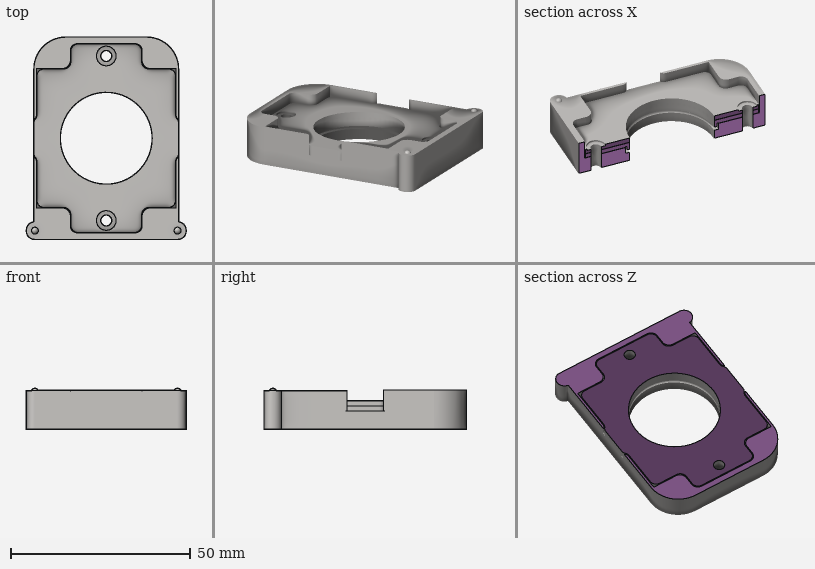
import cadquery as cq
import math

length = 56.45
overall_width = 44.6
body_width = 40.4
rear_corner_radius = 9.0
ear_depth = 4.95
ear_corner_radius = 2.35

front_rim_height = 10.8
rear_rim_height = 11.0
pocket_floor = 5.1
ledge_height = 3.0
lower_plate_thickness = 1.4
upper_plate_thickness = 1.5

peg_radius = 1.0
peg_top = 11.45
peg_x = 19.85

clearance = 0.1
plate_half_width = 19.3
plate_half_length = 19.3
end_tab_half_width = 9.9
end_tab_reach = 26.25
corner_radius = 2.0
pocket_shoulder_radius = 2.2
notch_arc_y = 6.6

bore_diameter = 25.5
collar_diameter = 27.5
collar_seat_diameter = 28.0
collar_bottom = 3.9
screw_hole_diameter = 3.0
screw_recess_diameter = 5.5
screw_recess_depth = 0.5
screw_y = 22.9

half_length = length / 2
half_body_width = body_width / 2
ear_y = -half_length + ear_depth / 2
lower_plate_top = pocket_floor + lower_plate_thickness
upper_plate_top = lower_plate_top + upper_plate_thickness
screw_points = [(0, screw_y), (0, -screw_y)]
peg_points = [(peg_x, ear_y), (-peg_x, ear_y)]


def cylinder(diameter, bottom, top, points=((0, 0),)):
    """Upright cylinders between two heights."""
    return cq.Workplane("XY").workplane(offset=bottom).pushPoints(points).circle(diameter / 2).extrude(top - bottom)


def end_tab_edge(bottom, gap, shoulder_radius):
    """Start of a quarter outline, from the origin round the end tab, grown outwards by gap."""
    tab_x = end_tab_half_width + gap
    tab_y = end_tab_reach + gap
    shoulder_y = plate_half_length + gap
    return (
        cq.Workplane("XY").workplane(offset=bottom)
        .lineTo(0, tab_y)
        .lineTo(tab_x - corner_radius, tab_y)
        .radiusArc((tab_x, tab_y - corner_radius), corner_radius)
        .lineTo(tab_x, shoulder_y + shoulder_radius)
        .radiusArc((tab_x + shoulder_radius, shoulder_y), -shoulder_radius)
    )


def four_quarters(quarter):
    """Complete a +X +Y quarter by mirroring it across both centre planes."""
    half = quarter.union(quarter.mirror("YZ"))
    return half.union(half.mirror("XZ")).clean()


def plate_blank(bottom, thickness):
    """Plate with rounded corners, end tabs and S-curved side tabs flush with the housing sides."""
    side_step = half_body_width - plate_half_width
    curve_run = math.sqrt(corner_radius**2 - (corner_radius - side_step / 2) ** 2)
    quarter = (
        end_tab_edge(bottom, 0, corner_radius)
        .lineTo(plate_half_width - corner_radius, plate_half_length)
        .radiusArc((plate_half_width, plate_half_length - corner_radius), corner_radius)
        .lineTo(plate_half_width, notch_arc_y)
        .radiusArc((plate_half_width + side_step / 2, notch_arc_y - curve_run), -corner_radius)
        .radiusArc((half_body_width, notch_arc_y - 2 * curve_run), corner_radius)
        .lineTo(half_body_width, 0)
        .close()
        .extrude(thickness)
    )
    return four_quarters(quarter)


def pocket_space():
    """Plate pocket: square main corners, open through a notch in each side wall."""
    pocket_x = plate_half_width + clearance
    pocket_y = plate_half_length + clearance
    notch_radius = corner_radius - clearance
    arc_centre_x = pocket_x + notch_radius
    notch_y = notch_arc_y - math.sqrt(notch_radius**2 - (arc_centre_x - half_body_width) ** 2)
    quarter = (
        end_tab_edge(pocket_floor, clearance, pocket_shoulder_radius)
        .lineTo(pocket_x, pocket_y)
        .lineTo(pocket_x, notch_arc_y)
        .radiusArc((half_body_width, notch_y), -notch_radius)
        .lineTo(half_body_width, 0)
        .close()
        .extrude(rear_rim_height - pocket_floor)
    )
    return four_quarters(quarter)


def make_housing():
    """Tray with two ears, a stepped rim, the plate pocket and a stepped bore."""
    body = (
        cq.Workplane("XY")
        .box(body_width, half_length - ear_y, rear_rim_height, centered=(True, False, False))
        .edges("|Z and >Y")
        .fillet(rear_corner_radius)
        .translate((0, ear_y, 0))
    )

    front_step = (
        cq.Workplane("XY")
        .workplane(offset=front_rim_height)
        .center(0, -half_length / 2)
        .rect(body_width, half_length)
        .extrude(rear_rim_height - front_rim_height)
    )
    body = body.cut(front_step)

    ear_bar = (
        cq.Workplane("XY")
        .box(overall_width, ear_depth, front_rim_height, centered=(True, True, False))
        .edges("|Z")
        .fillet(ear_corner_radius)
        .translate((0, ear_y, 0))
    )
    body = body.union(ear_bar)
    pegs = (
        cq.Workplane("XY")
        .workplane(offset=peg_top - peg_radius)
        .pushPoints(peg_points)
        .sphere(peg_radius)
    )
    body = body.union(pegs)

    body = body.cut(pocket_space())
    body = body.cut(cylinder(bore_diameter, 0, ledge_height))
    body = body.cut(cylinder(collar_seat_diameter, ledge_height, pocket_floor))
    return body.cut(cylinder(screw_hole_diameter, 0, pocket_floor, screw_points))


def make_lower_plate():
    """Lower plate with a collar that reaches down into the housing bore."""
    plate = plate_blank(pocket_floor, lower_plate_thickness)
    plate = plate.union(cylinder(collar_diameter, collar_bottom, pocket_floor))
    plate = plate.cut(cylinder(bore_diameter, collar_bottom, lower_plate_top))
    return plate.cut(cylinder(screw_hole_diameter, pocket_floor, lower_plate_top, screw_points))


def make_upper_plate():
    """Upper plate with shallow recesses round its screw holes."""
    plate = plate_blank(lower_plate_top, upper_plate_thickness)
    plate = plate.cut(cylinder(bore_diameter, lower_plate_top, upper_plate_top))
    plate = plate.cut(cylinder(screw_hole_diameter, lower_plate_top, upper_plate_top, screw_points))
    recess_bottom = upper_plate_top - screw_recess_depth
    return plate.cut(cylinder(screw_recess_diameter, recess_bottom, upper_plate_top, screw_points))


housing = make_housing()
lower_plate = make_lower_plate()
upper_plate = make_upper_plate()

result = cq.Compound.makeCompound([housing.val(), lower_plate.val(), upper_plate.val()])